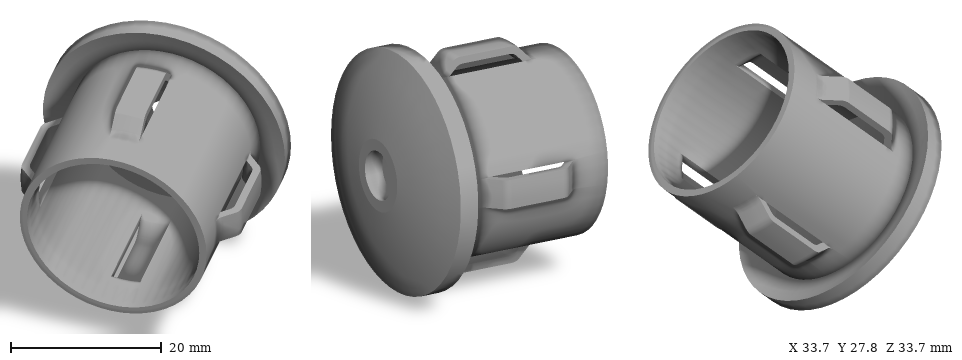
import cadquery as cq
import math


head_radius = 16.85
rim_bottom = 22.35
rim_thickness = 2.7
total_height = 27.8
flat_radius = 5.0
screw_hole_radius = 3.4

sleeve_outer_radius = 13.0
wall_thickness = 1.0
bore_radius = sleeve_outer_radius - wall_thickness

strap_width = 4.08
slot_bottom = 4.6
slot_top = 20.02
strap_outer_radius = 15.45
strap_rise = strap_outer_radius - sleeve_outer_radius
bend_radius = 1.5
ramp_angle = math.radians(45)

rim_top = rim_bottom + rim_thickness
dome_rise = total_height - rim_top
underside_flat = total_height - rim_thickness

sphere_center_below_rim = (head_radius**2 - flat_radius**2 - dome_rise**2) / (2 * dome_rise)
sphere_radius = math.hypot(head_radius, sphere_center_below_rim)


def dome_middle(edge_height):
    """Point on the dome arc midway between the flat and the rim."""
    radius = (head_radius + flat_radius) / 2
    center_height = edge_height - sphere_center_below_rim
    return radius, center_height + math.sqrt(sphere_radius**2 - radius**2)


def make_head():
    return (
        cq.Workplane("XY")
        .moveTo(0, underside_flat)
        .lineTo(flat_radius, underside_flat)
        .threePointArc(dome_middle(rim_bottom), (head_radius, rim_bottom))
        .lineTo(head_radius, rim_top)
        .threePointArc(dome_middle(rim_top), (flat_radius, total_height))
        .lineTo(0, total_height)
        .close()
        .revolve(360, (0, 0, 0), (0, 1, 0))
    )


def cylinder(radius, height):
    """Cylinder on the Y axis, standing on Y = 0."""
    return cq.Workplane("XZ").circle(radius).extrude(-height)


def strap_solid(depth):
    """Region inside the strap's outer face, offset inward by depth, turned about Y.

    Every bend keeps the same radius, whatever the offset.
    """
    crest = strap_outer_radius - depth
    foot = crest - strap_rise
    bend_start = depth * math.tan(ramp_angle / 2)
    bend_drop = bend_radius * (1 - math.cos(ramp_angle))
    straight_run = (strap_rise - 2 * bend_drop) / math.tan(ramp_angle)
    ramp_run = 2 * bend_radius * math.sin(ramp_angle) + straight_run

    def foot_bend(angle):
        """Radius from the axis and distance from the slot end, at an angle round the foot bend."""
        radius = foot + bend_radius * (1 - math.cos(angle))
        return radius, bend_start + bend_radius * math.sin(angle)

    def crest_bend(angle):
        """Radius from the axis and distance from the slot end, at an angle round the crest bend."""
        radius = crest - bend_radius * (1 - math.cos(angle))
        return radius, bend_start + ramp_run - bend_radius * math.sin(angle)

    def lower(point):
        return point[0], slot_bottom + point[1]

    def upper(point):
        return point[0], slot_top - point[1]

    foot_start, foot_middle, foot_end = [foot_bend(a) for a in (0, ramp_angle / 2, ramp_angle)]
    crest_start, crest_middle, crest_end = [crest_bend(a) for a in (ramp_angle, ramp_angle / 2, 0)]
    return (
        cq.Workplane("XY")
        .moveTo(0, lower(foot_start)[1])
        .lineTo(*lower(foot_start))
        .threePointArc(lower(foot_middle), lower(foot_end))
        .lineTo(*lower(crest_start))
        .threePointArc(lower(crest_middle), lower(crest_end))
        .lineTo(*upper(crest_end))
        .threePointArc(upper(crest_middle), upper(crest_start))
        .lineTo(*upper(foot_end))
        .threePointArc(upper(foot_middle), upper(foot_start))
        .lineTo(0, upper(foot_start)[1])
        .close()
        .revolve(360, (0, 0, 0), (0, 1, 0))
    )


def make_slot_cross():
    """Two crossed bars that span the slots on the X and Z sides."""
    slot_length = slot_top - slot_bottom
    span = 2 * head_radius
    middle = (0, (slot_bottom + slot_top) / 2, 0)
    along_x = cq.Workplane("XY").box(span, slot_length, strap_width).translate(middle)
    along_z = cq.Workplane("XY").box(strap_width, slot_length, span).translate(middle)
    return along_x.union(along_z)


head = make_head()
slot_cross = make_slot_cross()

bore = cylinder(bore_radius, rim_top)
sleeve_tube = cylinder(sleeve_outer_radius, rim_top).cut(bore)
slotted_sleeve = sleeve_tube.cut(slot_cross)

strap_ring = strap_solid(0).cut(strap_solid(wall_thickness)).cut(bore)
straps = strap_ring.intersect(slot_cross)

screw_hole = cylinder(screw_hole_radius, total_height)
result = head.union(slotted_sleeve).union(straps).cut(screw_hole)